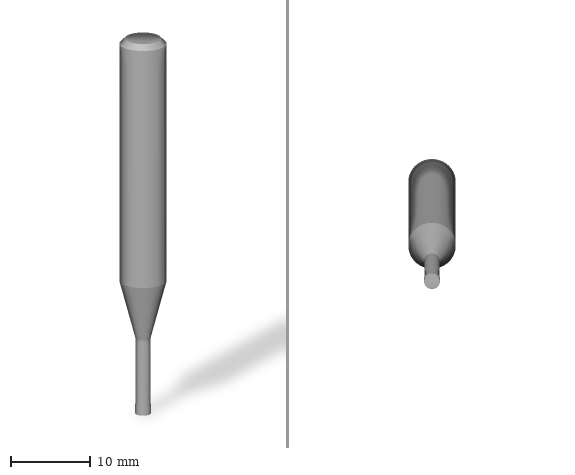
import cadquery as cq

total_length = 50.0
shank_radius = 3.0
shank_chamfer = 0.7

neck_radius = 0.95
cone_start = 10.0
cone_end = 17.7

head_radius = 1.0
tip_height = 1.0
collar_height = 0.2
corner_radius = 0.05


def turn(profile):
    """Revolve a closed half profile in the XZ plane about the Z axis."""
    return profile.revolve(360, (0, 0, 0), (0, 1, 0))


def make_holder():
    """Shank, cone, neck and the collar that carries the tip."""
    head_top = tip_height + collar_height
    profile = (
        cq.Workplane("XZ")
        .moveTo(0, tip_height)
        .lineTo(head_radius, tip_height)
        .lineTo(head_radius, head_top)
        .lineTo(neck_radius, head_top)
        .lineTo(neck_radius, cone_start)
        .lineTo(shank_radius, cone_end)
        .lineTo(shank_radius, total_length - shank_chamfer)
        .lineTo(shank_radius - shank_chamfer, total_length)
        .lineTo(0, total_length)
        .close()
    )
    return turn(profile)


def make_cutting_tip():
    """Disc with a rounded lower corner."""
    profile = (
        cq.Workplane("XZ")
        .lineTo(head_radius - corner_radius, 0)
        .radiusArc((head_radius, corner_radius), -corner_radius)
        .lineTo(head_radius, tip_height)
        .lineTo(0, tip_height)
        .close()
    )
    return turn(profile)


holder = make_holder()
cutting_tip = make_cutting_tip()

result = cq.Compound.makeCompound([holder.val(), cutting_tip.val()])